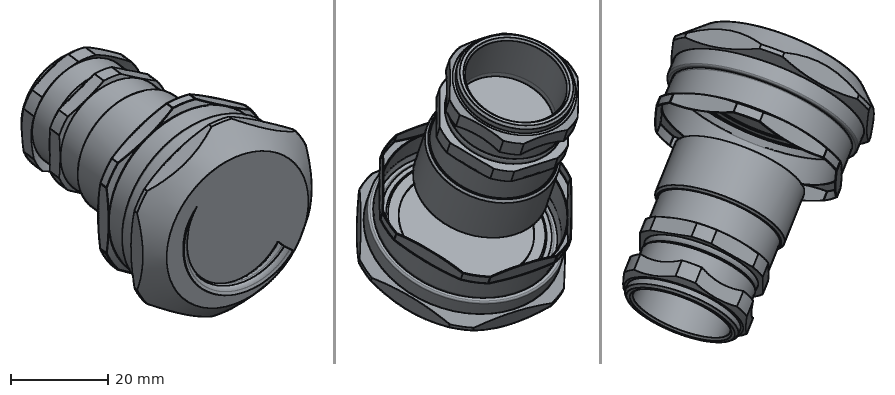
import cadquery as cq
import math


gland_end = 34.2
barrel_radius = 25.0 / 2
collar_radius = 26.8 / 2
sleeve_radius = 28.6 / 2
gland_hex_flats = 27.0
gland_hex_radius = 14.5
nose_chamfer = 0.55
sleeve_start = 22.15
sleeve_chamfer = 0.53

front_hex_start = 1.85
front_hex_face_radius = 13.1
front_hex_corner_start = 2.8
front_hex_end = 6.5
rear_hex_start = 12.0
rear_hex_corner_end = 15.25
rear_hex_end = 15.55

groove_start = 10.35
groove_bottom = 10.8
groove_radius = 24.4 / 2

mouth_radius = 11.2
bore_radius = 21.5 / 2
mouth_chamfer = 0.5
bore_depth = 10.95
taper_end = 12.0
bore_floor_radius = 10.5

housing_start = 37.4
housing_end = 58.9
skirt_radius = 39.8 / 2
housing_wall = 0.2

small_hex_flats = 2 * skirt_radius
small_hex_radius = 21.5
small_hex_corner_start = 38.2
small_hex_corner_end = 40.35
small_hex_end = 41.1

flange_start = 47.05
flange_radius = 42.0 / 2
flange_fillet = 0.45

large_hex_flats = 43.0
large_hex_radius = 47.0 / 2
large_hex_start = 50.9
large_hex_face_radius = 21.05
large_hex_corner_start = 52.35
large_hex_corner_end = 53.35
nose_radius = 18.05

pocket_cone_start = 46.9
pocket_radius = 38.5 / 2
pocket_depth = 48.4
boss_radius = 37.0 / 2
boss_face_radius = 36.0 / 2
boss_face = 48.05
boss_shoulder = 48.3
pad_radius = 33.5 / 2
pad_height = 0.25
pad_chamfer = 0.2
recess_radius = 28.6 / 2
recess_depth = 0.4

lip_pitch = 6.4
lip_sweep = 200.0
lip_start_angle = 126.0
lip_end = 62.25
lip_tip_radius = 14.1
lip_tip_width = 0.4
lip_bevel_radius = 13.4
lip_radius = 25.2 / 2
lip_thickness = 0.25
lip_flare_length = 1.4
lip_blend_length = 1.8
lip_length = 3.85


def revolve_profile(points):
    """Solid of revolution about X from a closed (x, radius) polygon."""
    return cq.Workplane("XY").polyline(points).close().revolve(360, (0, 0, 0), (1, 0, 0))


def hex_prism(start, end, across_flats):
    """Hexagonal prism along X with corners on +Z and -Z."""
    across_corners = across_flats / math.cos(math.radians(30))
    prism = cq.Workplane("YZ", origin=(start, 0, 0)).polygon(6, across_corners).extrude(end - start)
    return prism.rotate((0, 0, 0), (1, 0, 0), 90)


def turned_hex(start, end, across_flats, profile):
    """Hexagon whose corners and faces are turned to an (x, radius) profile."""
    return hex_prism(start, end, across_flats).intersect(revolve_profile(profile))


def tangent_arc_middle(run, rise):
    """Middle point (run, rise) of an arc that starts at (0, 0) along the run direction."""
    radius = (run ** 2 + rise ** 2) / (2 * rise)
    half_angle = math.asin(run / radius) / 2
    return radius * math.sin(half_angle), radius * (1 - math.cos(half_angle))


def gland_barrel():
    back, rise = tangent_arc_middle(rear_hex_start - groove_bottom, barrel_radius - groove_radius)
    groove_arc_middle = (rear_hex_start - back, barrel_radius - rise)
    return (
        cq.Workplane("XY")
        .moveTo(0, 0)
        .lineTo(0, barrel_radius - nose_chamfer)
        .lineTo(nose_chamfer, barrel_radius)
        .lineTo(groove_start, barrel_radius)
        .lineTo(groove_bottom, groove_radius)
        .threePointArc(groove_arc_middle, (rear_hex_start, barrel_radius))
        .lineTo(rear_hex_start, collar_radius)
        .lineTo(sleeve_start, collar_radius)
        .lineTo(sleeve_start, sleeve_radius - sleeve_chamfer)
        .lineTo(sleeve_start + sleeve_chamfer, sleeve_radius)
        .lineTo(gland_end, sleeve_radius)
        .lineTo(gland_end, 0)
        .close()
        .revolve(360, (0, 0, 0), (1, 0, 0))
    )


def gland_front_hex():
    dish_bottom = front_hex_end - gland_hex_radius
    return turned_hex(front_hex_start, front_hex_end, gland_hex_flats, [
        (front_hex_start, 0),
        (front_hex_start, front_hex_face_radius),
        (front_hex_corner_start, gland_hex_radius),
        (front_hex_end, gland_hex_radius),
        (dish_bottom + barrel_radius, barrel_radius),
        (dish_bottom + barrel_radius, 0),
    ])


def gland_rear_hex():
    return turned_hex(rear_hex_start, rear_hex_end, gland_hex_flats, [
        (rear_hex_start, 0),
        (rear_hex_start, gland_hex_radius),
        (rear_hex_corner_end, gland_hex_radius),
        (rear_hex_end, collar_radius),
        (rear_hex_end, 0),
    ])


def gland_bore():
    return revolve_profile([
        (0, 0),
        (0, mouth_radius),
        (mouth_chamfer, bore_radius),
        (bore_depth, bore_radius),
        (taper_end, bore_floor_radius),
        (taper_end, 0),
    ])


def make_gland():
    body = gland_barrel().union(gland_front_hex()).union(gland_rear_hex())
    return body.cut(gland_bore())


def housing_small_hex():
    return turned_hex(housing_start, small_hex_end, small_hex_flats, [
        (housing_start, 0),
        (housing_start, skirt_radius),
        (small_hex_corner_start, small_hex_radius),
        (small_hex_corner_end, small_hex_radius),
        (small_hex_end, skirt_radius),
        (small_hex_end, 0),
    ])


def housing_skirt():
    skirt = cq.Workplane("YZ", origin=(small_hex_end, 0, 0)).circle(skirt_radius)
    return skirt.extrude(flange_start - small_hex_end)


def housing_flange():
    flange = cq.Workplane("YZ", origin=(flange_start, 0, 0)).circle(flange_radius)
    return flange.extrude(large_hex_start - flange_start).faces("<X").edges().fillet(flange_fillet)


def housing_large_hex():
    return turned_hex(large_hex_start, housing_end, large_hex_flats, [
        (large_hex_start, 0),
        (large_hex_start, large_hex_face_radius),
        (large_hex_corner_start, large_hex_radius),
        (large_hex_corner_end, large_hex_radius),
        (housing_end, nose_radius),
        (housing_end, 0),
    ])


def hex_cavity():
    """Hollow of the small hexagon, following its flats, corners and rear cone."""
    inner_radius = small_hex_radius - housing_wall
    inner_skirt = skirt_radius - housing_wall
    return turned_hex(housing_start, small_hex_end, small_hex_flats - 2 * housing_wall, [
        (housing_start, 0),
        (housing_start, inner_radius),
        (small_hex_corner_end, inner_radius),
        (small_hex_end, inner_skirt),
        (small_hex_end, 0),
    ])


def skirt_pocket():
    """Round pocket inside the skirt, with a stepped boss on its floor."""
    inner_skirt = skirt_radius - housing_wall
    pad_face = boss_face - pad_height
    return revolve_profile([
        (small_hex_end, 0),
        (small_hex_end, inner_skirt),
        (pocket_cone_start, inner_skirt),
        (pocket_depth, pocket_radius),
        (boss_shoulder, boss_radius),
        (boss_face, boss_face_radius),
        (boss_face, pad_radius + pad_chamfer),
        (pad_face, pad_radius - pad_chamfer),
        (pad_face, recess_radius),
        (pad_face + recess_depth, recess_radius),
        (pad_face + recess_depth, 0),
    ])


def flared_lip():
    """Thin flared sheet swept along a right-hand helix about X."""
    rise = lip_pitch * lip_sweep / 360
    inner_radius = lip_radius - lip_thickness
    blend_run = lip_blend_length - lip_tip_width
    forward, outward = tangent_arc_middle(blend_run, lip_bevel_radius - inner_radius)
    blend_middle = (inner_radius + outward, forward - lip_blend_length)
    section = (
        cq.Workplane("XZ")
        .moveTo(inner_radius, -lip_length)
        .lineTo(inner_radius, -lip_blend_length)
        .threePointArc(blend_middle, (lip_bevel_radius, -lip_tip_width))
        .lineTo(lip_tip_radius, 0)
        .lineTo(lip_tip_radius, -lip_tip_width)
        .lineTo(lip_radius, -lip_flare_length)
        .lineTo(lip_radius, -lip_length)
        .close()
    )
    helix = cq.Workplane(cq.Wire.makeHelix(lip_pitch, rise, lip_radius))
    lip = section.sweep(helix, isFrenet=True)
    lip = lip.rotate((0, 0, 0), (0, 1, 0), 90)
    lip = lip.rotate((0, 0, 0), (1, 0, 0), lip_start_angle - 270)
    return lip.translate((lip_end - rise, 0, 0))


def make_housing():
    body = housing_small_hex().union(housing_skirt()).union(housing_flange()).union(housing_large_hex())
    body = body.cut(hex_cavity()).cut(skirt_pocket())
    return body.union(flared_lip())


gland = make_gland()
housing = make_housing()
result = cq.Compound.makeCompound([gland.val(), housing.val()])